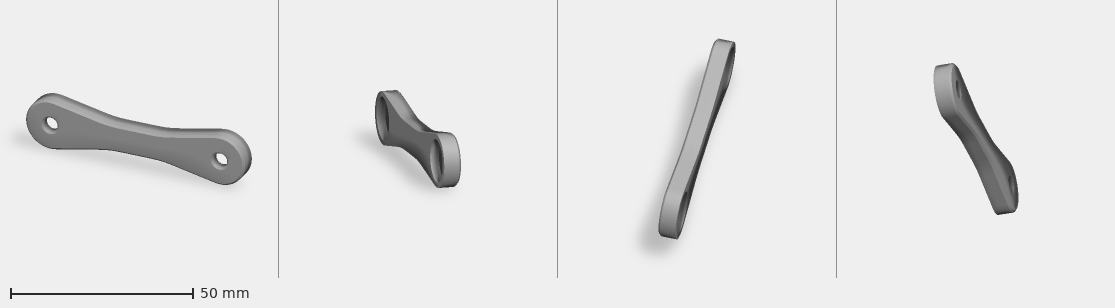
import cadquery as cq
import math

length = 66.25
thickness = 5.0
end_radius = 7.5
neck_half_height = 4.05
neck_half_length = 4.9
blend_radius = 30.0
hole_diameter = 4.1
recess_diameter = 12.0
recess_depth = 2.5
chamfer = 0.6

hole_x = length / 2 - end_radius

blend_center_z = neck_half_height + blend_radius
center_dx = hole_x - neck_half_length
center_distance = math.hypot(center_dx, blend_center_z)
flank_angle = math.atan2(center_dx, blend_center_z) - math.acos(
    (end_radius + blend_radius) / center_distance
)


def end_point(angle):
    """Point on the right end circle, at an angle from +Z towards -X."""
    return (hole_x - end_radius * math.sin(angle), end_radius * math.cos(angle))


def blend_point(angle):
    """Point on the upper right blend arc, at an angle from -Z towards +X."""
    return (
        neck_half_length + blend_radius * math.sin(angle),
        blend_center_z - blend_radius * math.cos(angle),
    )


def mirror_x(point):
    return (-point[0], point[1])


def mirror_z(point):
    return (point[0], -point[1])


def opposite(point):
    return (-point[0], -point[1])


def make_body():
    neck = blend_point(0)
    blend_middle = blend_point(flank_angle / 2)
    blend_end = blend_point(flank_angle)
    flank_end = end_point(flank_angle)
    tip = (length / 2, 0)
    outline = (
        cq.Workplane("XZ", origin=(0, thickness / 2, 0))
        .moveTo(*mirror_x(neck))
        .lineTo(*neck)
        .threePointArc(blend_middle, blend_end)
        .lineTo(*flank_end)
        .threePointArc(tip, mirror_z(flank_end))
        .lineTo(*mirror_z(blend_end))
        .threePointArc(mirror_z(blend_middle), mirror_z(neck))
        .lineTo(*opposite(neck))
        .threePointArc(opposite(blend_middle), opposite(blend_end))
        .lineTo(*opposite(flank_end))
        .threePointArc(opposite(tip), mirror_x(flank_end))
        .lineTo(*mirror_x(blend_end))
        .threePointArc(mirror_x(blend_middle), mirror_x(neck))
        .close()
    )
    return outline.extrude(thickness)


def cut_holes(body):
    """Cut both holes, counterbored from the back (+Y) face."""
    return (
        body.faces(">Y")
        .workplane(origin=(0, 0, 0))
        .pushPoints([(-hole_x, 0), (hole_x, 0)])
        .cboreHole(hole_diameter, recess_diameter, recess_depth)
    )


result = cut_holes(make_body()).faces("<Y").edges().chamfer(chamfer)